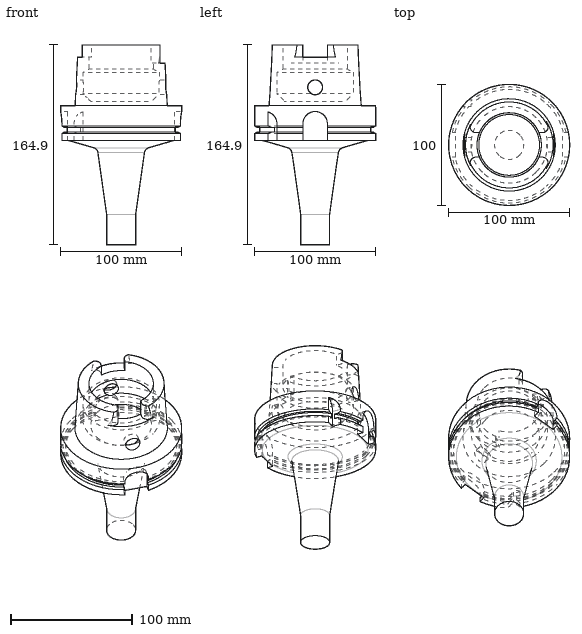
import cadquery as cq
import math

flange_radius = 50.0
flange_bottom = -28.9
groove_radius = 45.8
groove_top = -18.0
groove_bottom = -22.0
groove_bevel_height = 1.2
groove_bevel_depth = 2.0

shank_height = 50.0
shank_base_radius = 38.1
shank_top_radius = 35.5

bore_radius = 26.5
bore_floor_radius = 25.0
chamber_radius = 63.2 / 2
bore_lip_bottom = shank_height - 20.0
chamber_top_slope = math.radians(30)
chamber_top = bore_lip_bottom - (chamber_radius - bore_radius) * math.tan(chamber_top_slope)
bore_floor = 3.3
chamber_bottom = bore_floor + chamber_radius - bore_floor_radius

slot_width = 20.1
slot_round_radius = 5
slot_flare_angle = math.radians(25)
rim_round_reach = 32.2
left_slot_depth = 10.0
right_slot_depth = 15.0

cross_hole_diameter = 12.0
cross_hole_height = 15.0

keyway_width = slot_width
keyway_top = -5
keyway_floor_distance = 44.0
side_keyway_floor_distance = 31.5
side_keyway_edge = 31.5

hub_radius = 43.5
hub_cone_end_radius = 22.5
hub_cone_end = -35.0
neck_top_radius = 19.3
neck_top = -38.8
tip_diameter = 24.0
tip_length = 25.0
tip_bottom = shank_height - 164.9
tip_top = tip_bottom + tip_length


def turned_body():
    """Solid of revolution for the shank, flange, neck and tip."""
    tip_radius = tip_diameter / 2
    bevel_radius = flange_radius - groove_bevel_depth
    profile = (
        cq.Workplane("XZ")
        .moveTo(0, tip_bottom)
        .lineTo(tip_radius, tip_bottom)
        .lineTo(tip_radius, tip_top)
        .lineTo(neck_top_radius, neck_top)
        .tangentArcPoint((hub_cone_end_radius, hub_cone_end), relative=False)
        .lineTo(hub_radius, flange_bottom)
        .lineTo(flange_radius, flange_bottom)
        .lineTo(flange_radius, groove_bottom - groove_bevel_height)
        .lineTo(bevel_radius, groove_bottom)
        .lineTo(groove_radius, groove_bottom)
        .lineTo(groove_radius, groove_top)
        .lineTo(bevel_radius, groove_top)
        .lineTo(flange_radius, groove_top + groove_bevel_height)
        .lineTo(flange_radius, 0)
        .lineTo(shank_base_radius, 0)
        .lineTo(shank_top_radius, shank_height)
        .lineTo(0, shank_height)
        .close()
    )
    return profile.revolve(360, (0, 0, 0), (0, 1, 0))


def stepped_bore():
    """Bore with a narrow lip that opens into a wider chamber."""
    profile = (
        cq.Workplane("XZ")
        .moveTo(0, bore_floor)
        .lineTo(bore_floor_radius, bore_floor)
        .lineTo(chamber_radius, chamber_bottom)
        .lineTo(chamber_radius, chamber_top)
        .lineTo(bore_radius, bore_lip_bottom)
        .lineTo(bore_radius, shank_height)
        .lineTo(0, shank_height)
        .close()
    )
    return profile.revolve(360, (0, 0, 0), (0, 1, 0))


def rim_slot(side, depth):
    """Drive slot whose walls round outward and then flare; side is -1 or 1 along X."""
    half_width = slot_width / 2
    round_x = rim_round_reach - slot_round_radius
    round_y = half_width + slot_round_radius
    outer = shank_base_radius

    flare_x = round_x + slot_round_radius * math.cos(slot_flare_angle)
    flare_y = round_y + slot_round_radius * math.sin(slot_flare_angle)
    outer_x = flare_x - (outer - flare_y) * math.tan(slot_flare_angle)

    outline = (
        cq.Workplane("XY", origin=(0, 0, shank_height - depth))
        .moveTo(0, -half_width)
        .lineTo(side * round_x, -half_width)
        .tangentArcPoint((side * flare_x, -flare_y), relative=False)
        .lineTo(side * outer_x, -outer)
        .lineTo(side * outer, -outer)
        .lineTo(side * outer, outer)
        .lineTo(side * outer_x, outer)
        .lineTo(side * flare_x, flare_y)
        .tangentArcPoint((side * round_x, half_width), relative=False)
        .lineTo(0, half_width)
        .close()
    )
    return outline.extrude(depth)


def keyway(center_y, floor_x):
    """Round-topped keyway, open below, cut from the -X side to a flat floor at floor_x."""
    half_width = keyway_width / 2
    arc_center = keyway_top - half_width
    outline = (
        cq.Workplane("YZ", origin=(-flange_radius, 0, 0))
        .moveTo(center_y - half_width, flange_bottom)
        .lineTo(center_y - half_width, arc_center)
        .threePointArc((center_y, keyway_top), (center_y + half_width, arc_center))
        .lineTo(center_y + half_width, flange_bottom)
        .close()
    )
    return outline.extrude(flange_radius + floor_x)


cross_hole = (
    cq.Workplane("YZ", origin=(-flange_radius, 0, cross_hole_height))
    .circle(cross_hole_diameter / 2)
    .extrude(2 * flange_radius)
)
left_keyway = keyway(0, -keyway_floor_distance)
right_keyway = left_keyway.mirror("YZ")
side_keyway = keyway(side_keyway_edge + keyway_width / 2, -side_keyway_floor_distance)

result = (
    turned_body()
    .cut(stepped_bore())
    .cut(rim_slot(-1, left_slot_depth))
    .cut(rim_slot(1, right_slot_depth))
    .cut(cross_hole)
    .cut(left_keyway)
    .cut(right_keyway)
    .cut(side_keyway)
)